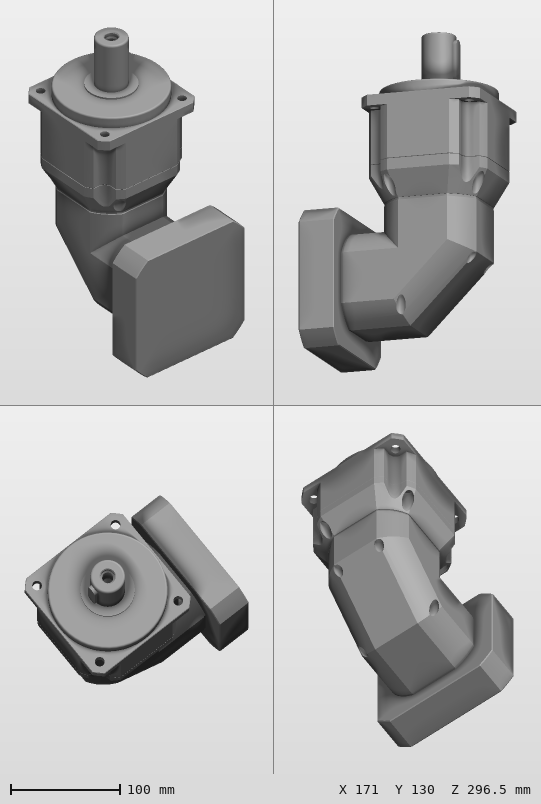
import cadquery as cq
import math


EDGE_BREAK = 1.0
FINE_EDGE_BREAK = 0.5
JOINT_INSET = 0.5

FLANGE_HALF = 57.5
FLANGE_CORNER_RADIUS = 76.0
HOUSING_CORNER_RADIUS = 65.0
ELBOW_HALF = 45.0
ELBOW_CORNER_RADIUS = 51.0
MOTOR_PLATE_HALF = 65.0
MOTOR_PLATE_CORNER_RADIUS = 82.5

ELBOW_TOP = 69.5
TAPER_BOTTOM = 71.5
TAPER_TOP = 95.2
ADAPTER_TOP = 105.5
FLANGE_BOTTOM = 157.0
FLANGE_TOP = 167.3
PILOT_TOP = 178.5
COLLAR_TOP = 180.3
SHAFT_TOP = 231.5

ELBOW_END = 77.0
MOTOR_PLATE_START = 79.2
MOTOR_PLATE_END = 113.5

PILOT_RADIUS = 55.0
PILOT_FILLET = 1.8
BOLT_OFFSET = 46.0
BOLT_RADIUS = 4.5
CHANNEL_RADIUS = 8.0

ADAPTER_HOLE_RADIUS = 5.5
ADAPTER_HOLE_X = 30.5
ADAPTER_HOLE_Y = 49.0

DIAGONAL_DEPTH = 25.8
ELBOW_HOLE_RADIUS = 4.5
ELBOW_HOLE_CIRCLE = 46.0
ELBOW_HOLE_ANGLES = (60, 150, 210, 300)

SEAL_RADIUS = 42.5
COLLAR_RADIUS = 25.0
SHAFT_RADIUS = 16.0
SHAFT_FILLET = 2.0
CENTER_RIM_RADIUS = 7.5
CENTER_BORE_RADIUS = 6.5
CENTER_BORE_DEPTH = 4.5
TAP_RADIUS = 5.0
TAP_DEPTH = 28.0
KEY_WIDTH = 10.0
KEY_LENGTH = 40.0
KEY_HEIGHT = 8.0
KEY_BOTTOM = 186.3
KEY_OUTER = 19.0


def rounded_square(half, corner_radius, bottom, top):
    """Square prism along Z whose corners are cut by a cylinder."""
    height = top - bottom
    square = cq.Workplane("XY").workplane(offset=bottom).rect(2 * half, 2 * half).extrude(height)
    cylinder = cq.Workplane("XY").workplane(offset=bottom).circle(corner_radius).extrude(height)
    return square.intersect(cylinder)


def along_input(prism):
    """Turn a prism built along +Z to run along +X."""
    return prism.rotate((0, 0, 0), (0, 1, 0), 90)


def disc(radius, bottom, top):
    return cq.Workplane("XY").workplane(offset=bottom).circle(radius).extrude(top - bottom)


def corner_channels():
    """Four open corner pockets, each with a rounded inner corner around its flange bolt."""
    wall = BOLT_OFFSET - CHANNEL_RADIUS
    far = 2 * FLANGE_HALF
    arc_reach = CHANNEL_RADIUS * math.sqrt(0.5)
    pocket = (
        cq.Workplane("XY")
        .workplane(offset=ELBOW_TOP)
        .moveTo(wall, far)
        .lineTo(wall, BOLT_OFFSET)
        .threePointArc((BOLT_OFFSET - arc_reach, BOLT_OFFSET - arc_reach), (BOLT_OFFSET, wall))
        .lineTo(far, wall)
        .lineTo(far, far)
        .close()
        .extrude(FLANGE_BOTTOM - ELBOW_TOP)
    )
    channels = cq.Workplane("XY")
    for quarter in range(4):
        channels = channels.add(pocket.rotate((0, 0, 0), (0, 0, 1), 90 * quarter))
    return channels.combine()


def make_housing():
    flange = rounded_square(FLANGE_HALF, FLANGE_CORNER_RADIUS, FLANGE_BOTTOM, FLANGE_TOP)
    flange = flange.faces(">Z").edges().chamfer(FINE_EDGE_BREAK)
    barrel = rounded_square(FLANGE_HALF, HOUSING_CORNER_RADIUS, ADAPTER_TOP, FLANGE_BOTTOM)
    barrel = barrel.cut(corner_channels()).faces("<Z").edges().chamfer(FINE_EDGE_BREAK)
    pilot = disc(PILOT_RADIUS, FLANGE_TOP, PILOT_TOP).faces(">Z").edges().fillet(PILOT_FILLET)
    bolt_holes = (
        cq.Workplane("XY")
        .workplane(offset=FLANGE_BOTTOM)
        .rect(2 * BOLT_OFFSET, 2 * BOLT_OFFSET, forConstruction=True)
        .vertices()
        .circle(BOLT_RADIUS)
        .extrude(FLANGE_TOP - FLANGE_BOTTOM)
    )
    seal_seat = disc(SEAL_RADIUS, FLANGE_TOP, PILOT_TOP)
    return barrel.union(flange).union(pilot).cut(bolt_holes).cut(seal_seat)


def make_seal_ring():
    return disc(SEAL_RADIUS, FLANGE_TOP, PILOT_TOP).cut(disc(COLLAR_RADIUS, FLANGE_TOP, PILOT_TOP))


def make_key():
    return (
        cq.Workplane("YZ")
        .workplane(offset=-KEY_OUTER)
        .center(0, KEY_BOTTOM + KEY_LENGTH / 2)
        .slot2D(KEY_LENGTH, KEY_WIDTH, 90)
        .extrude(KEY_HEIGHT)
    )


def center_hole():
    """Countersunk, tapped hole in the shaft end, with a conical bottom."""
    rim_depth = CENTER_RIM_RADIUS - CENTER_BORE_RADIUS
    step = CENTER_BORE_RADIUS - TAP_RADIUS
    return (
        cq.Workplane("XZ")
        .moveTo(0, SHAFT_TOP)
        .lineTo(CENTER_RIM_RADIUS, SHAFT_TOP)
        .lineTo(CENTER_BORE_RADIUS, SHAFT_TOP - rim_depth)
        .lineTo(CENTER_BORE_RADIUS, SHAFT_TOP - CENTER_BORE_DEPTH)
        .lineTo(TAP_RADIUS, SHAFT_TOP - CENTER_BORE_DEPTH - step)
        .lineTo(TAP_RADIUS, SHAFT_TOP - TAP_DEPTH)
        .lineTo(0, SHAFT_TOP - TAP_DEPTH - TAP_RADIUS)
        .close()
        .revolve(360, (0, 0, 0), (0, 1, 0))
    )


def make_shaft(key):
    collar = disc(COLLAR_RADIUS, FLANGE_TOP, COLLAR_TOP)
    journal = disc(SHAFT_RADIUS, COLLAR_TOP, SHAFT_TOP).faces(">Z").edges().fillet(SHAFT_FILLET)
    return collar.union(journal).cut(center_hole()).cut(key)


def taper():
    """Pyramid with conical corners from the elbow's section up to the housing's section."""
    height = TAPER_TOP - TAPER_BOTTOM
    pyramid = (
        cq.Workplane("XY")
        .workplane(offset=TAPER_BOTTOM)
        .rect(2 * ELBOW_HALF, 2 * ELBOW_HALF)
        .workplane(offset=height)
        .rect(2 * FLANGE_HALF, 2 * FLANGE_HALF)
        .loft(ruled=True)
    )
    cone = cq.Solid.makeCone(
        ELBOW_CORNER_RADIUS, HOUSING_CORNER_RADIUS, height, pnt=cq.Vector(0, 0, TAPER_BOTTOM)
    )
    return pyramid.intersect(cq.Workplane(cone))


def make_adapter():
    neck = rounded_square(
        ELBOW_HALF - JOINT_INSET, ELBOW_CORNER_RADIUS - JOINT_INSET, ELBOW_TOP, TAPER_BOTTOM
    )
    rim = rounded_square(FLANGE_HALF, HOUSING_CORNER_RADIUS, TAPER_TOP, ADAPTER_TOP)
    adapter = taper().union(neck).union(rim).cut(corner_channels())
    screw_hole = disc(ADAPTER_HOLE_RADIUS, ELBOW_TOP, ADAPTER_TOP)
    screw_hole = screw_hole.translate((ADAPTER_HOLE_X, ADAPTER_HOLE_Y, 0))
    for quarter in range(4):
        adapter = adapter.cut(screw_hole.rotate((0, 0, 0), (0, 0, 1), 90 * quarter))
    return adapter


def diagonal_limit():
    """Prism under the elbow's bend: flat diagonal face, cylindrical edges, open inward."""
    half_flat = math.sqrt(ELBOW_CORNER_RADIUS**2 - ELBOW_HALF**2)
    face_depth = DIAGONAL_DEPTH / math.sqrt(2)
    corner_depth = ELBOW_HALF - half_flat
    arc_middle = ELBOW_CORNER_RADIUS * math.sqrt(0.5)
    arc_rise = ELBOW_HALF - arc_middle
    half_length = 4 * ELBOW_HALF
    far = 3 * ELBOW_HALF
    section = cq.Plane(origin=(0, 0, 0), xDir=(0, 1, 0), normal=(1, 0, -1))
    return (
        cq.Workplane(section)
        .moveTo(-half_flat, -face_depth)
        .lineTo(half_flat, -face_depth)
        .threePointArc((arc_middle, arc_rise - face_depth), (ELBOW_HALF, corner_depth - face_depth))
        .lineTo(ELBOW_HALF, far)
        .lineTo(-ELBOW_HALF, far)
        .lineTo(-ELBOW_HALF, corner_depth - face_depth)
        .threePointArc((-arc_middle, arc_rise - face_depth), (-half_flat, -face_depth))
        .close()
        .extrude(half_length, both=True)
    )


def make_elbow():
    vertical_leg = rounded_square(ELBOW_HALF, ELBOW_CORNER_RADIUS, -ELBOW_HALF, ELBOW_TOP)
    input_leg = along_input(
        rounded_square(ELBOW_HALF, ELBOW_CORNER_RADIUS, -ELBOW_HALF, ELBOW_END)
    )
    reach = 3 * ELBOW_HALF
    wedge = (
        cq.Workplane("XZ")
        .polyline([(-reach, -reach), (reach, reach), (-reach, reach)])
        .close()
        .extrude(reach, both=True)
    )
    elbow = vertical_leg.intersect(wedge).union(input_leg.cut(wedge)).intersect(diagonal_limit())
    elbow = elbow.faces(">Z").edges().chamfer(FINE_EDGE_BREAK)
    screw_holes = (
        cq.Workplane("XY")
        .workplane(offset=-ELBOW_HALF)
        .pushPoints([
            (
                ELBOW_HOLE_CIRCLE * math.cos(math.radians(angle)),
                ELBOW_HOLE_CIRCLE * math.sin(math.radians(angle)),
            )
            for angle in ELBOW_HOLE_ANGLES
        ])
        .circle(ELBOW_HOLE_RADIUS)
        .extrude(ELBOW_TOP + ELBOW_HALF)
    )
    return elbow.cut(screw_holes)


def make_spacer():
    return along_input(
        rounded_square(
            ELBOW_HALF - JOINT_INSET, ELBOW_CORNER_RADIUS - JOINT_INSET, ELBOW_END, MOTOR_PLATE_START
        )
    )


def make_motor_plate():
    plate = rounded_square(
        MOTOR_PLATE_HALF, MOTOR_PLATE_CORNER_RADIUS, MOTOR_PLATE_START, MOTOR_PLATE_END
    )
    return along_input(plate.faces("<Z or >Z").edges().chamfer(EDGE_BREAK))


housing = make_housing()
seal_ring = make_seal_ring()
key = make_key()
shaft = make_shaft(key)
adapter = make_adapter()
elbow = make_elbow()
spacer = make_spacer()
motor_plate = make_motor_plate()

result = cq.Compound.makeCompound([
    housing.val(),
    seal_ring.val(),
    key.val(),
    shaft.val(),
    adapter.val(),
    elbow.val(),
    spacer.val(),
    motor_plate.val(),
])